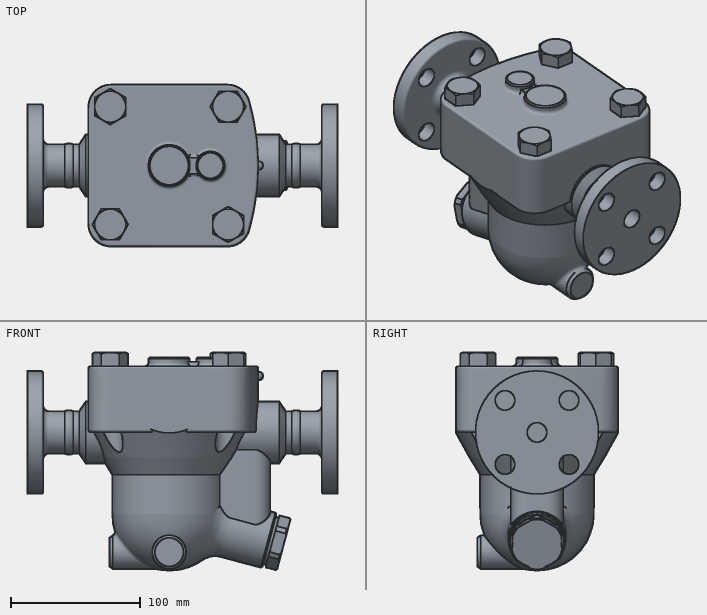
import cadquery as cq
import math


INLET_X = -109.2
OUTLET_X = 129.8
FLANGE_RADIUS = 95.0 / 2
FLANGE_THICKNESS = 12.2
FLANGE_EDGE_ROUND = 2.0
FLANGE_HOLE_DIA = 15.0
FLANGE_BOLT_CIRCLE_DIA = 69.8
FLANGE_HOLE_COUNT = 4
PIPE_RADIUS = 33.0 / 2
PIPE_ROOT_FILLET = 4.0
WELD_START = 28.7
WELD_WIDTH = 6.5
WELD_HEIGHT = 0.7
SOCKET_RADIUS = 48.0 / 2
SOCKET_TAPER_START = 40.0
SOCKET_TAPER_LENGTH = 5.0
BORE_DIA = 15.0
BORE_DEPTH = SOCKET_TAPER_START

BLOCK_HALF_WIDTH = 62.5
BLOCK_LEFT_X = -62.4
BLOCK_RIGHT_X = 68.5
BLOCK_CORNER_X = 57.5
BLOCK_CORNER_RADIUS = 17.7
BLOCK_TOP_Z = 51.1
BLOCK_TOP_ROUND = 2.0
BLOCK_BOTTOM_ROUND = 2.5

BOLT_OFFSET = 45.5
BOLT_ACROSS_FLATS = 24.0
BOLT_HEAD_HEIGHT = 10.5
BOLT_CHAMFER_ANGLE = 30
BOLT_RELIEF_RADIUS = 9.8

BOSS_HEIGHT = 6.7
BOSS_CHAMFER = 1.2
LARGE_BOSS_RADIUS = 32.0 / 2
SMALL_BOSS_RADIUS = 22.0 / 2
SMALL_BOSS_X = 31.8
BRIDGE_WIDTH = 12.5
BRIDGE_HEIGHT = 3.3
BOSS_ROOT_FILLET = 2.9

PIN_RADIUS = 3.3
PIN_Z = 43.5
PIN_TIP_X = 72.5

CHAMBER_RADIUS = 44.0
NECK_BOTTOM_Z = -32.5
NECK_BREAK_Z = -19.4
NECK_BREAK_RADIUS = 52.0
NECK_SLOPE = 0.55
DOME_Z = -62.5

DRAIN_RADIUS = 26.0 / 2
DRAIN_FACE_RADIUS = 22.0 / 2
DRAIN_CHAMFER_LENGTH = 2.6
DRAIN_REACH = 46.1
DRAIN_Z = -92.3
DRAIN_ROOT_FILLET = 2.9

RIB_HALF_WIDTH = 20.0
RIB_END_X = 78.0
RIB_CORNER_RADIUS = 12.5

PLUG_TILT = 15
PLUG_BOSS_RADIUS = 44.0 / 2
PLUG_ROOT_FILLET = 17.5
PLUG_BOSS_LENGTH = 80.0
PLUG_BOSS_CHAMFER = 1.2
PLUG_NECK_RADIUS = 38.0 / 2
PLUG_HEX_START = 82.5
PLUG_HEX_END = 91.5
PLUG_ACROSS_FLATS = 38.0
PLUG_CORNER_RADIUS = 41.5 / 2
PLUG_EDGE_CHAMFER = 1.0


def hexagon(plane, across_flats, height, turn=0):
    """Hexagonal prism with two corners on the local X axis when turn is 0."""
    corner_dia = across_flats / math.cos(math.radians(30))
    return plane.transformed(rotate=(0, 0, turn)).polygon(6, corner_dia).extrude(height)


def pipe_end(face_x, inward):
    """Flange, pipe, weld bead and socket, from the flange face to the block centre."""

    def at(distance, radius):
        return (face_x + inward * distance, radius)

    flange_side = FLANGE_RADIUS - FLANGE_EDGE_ROUND
    edge_start = FLANGE_THICKNESS - FLANGE_EDGE_ROUND
    diagonal = math.sqrt(0.5)
    edge_mid = at(edge_start + FLANGE_EDGE_ROUND * diagonal, flange_side + FLANGE_EDGE_ROUND * diagonal)
    root_mid = at(
        FLANGE_THICKNESS + PIPE_ROOT_FILLET * (1 - diagonal),
        PIPE_RADIUS + PIPE_ROOT_FILLET * (1 - diagonal),
    )
    weld_mid = at(WELD_START + WELD_WIDTH / 2, PIPE_RADIUS + WELD_HEIGHT)
    return (
        cq.Workplane("XY")
        .moveTo(*at(0, 0))
        .lineTo(*at(0, FLANGE_RADIUS))
        .lineTo(*at(edge_start, FLANGE_RADIUS))
        .threePointArc(edge_mid, at(FLANGE_THICKNESS, flange_side))
        .lineTo(*at(FLANGE_THICKNESS, PIPE_RADIUS + PIPE_ROOT_FILLET))
        .threePointArc(root_mid, at(FLANGE_THICKNESS + PIPE_ROOT_FILLET, PIPE_RADIUS))
        .lineTo(*at(WELD_START, PIPE_RADIUS))
        .threePointArc(weld_mid, at(WELD_START + WELD_WIDTH, PIPE_RADIUS))
        .lineTo(*at(SOCKET_TAPER_START, PIPE_RADIUS))
        .lineTo(*at(SOCKET_TAPER_START + SOCKET_TAPER_LENGTH, SOCKET_RADIUS))
        .lineTo(0, SOCKET_RADIUS)
        .lineTo(0, 0)
        .close()
        .revolve(360, (0, 0, 0), (1, 0, 0))
    )


def flange_holes(face_x, inward):
    """Bolt holes through one flange and the blind bore along its pipe."""
    face = cq.Workplane("YZ", origin=(face_x, 0, 0))
    holes = (
        face.polarArray(FLANGE_BOLT_CIRCLE_DIA / 2, 45, 360, FLANGE_HOLE_COUNT)
        .circle(FLANGE_HOLE_DIA / 2)
        .extrude(inward * FLANGE_THICKNESS)
    )
    return holes.union(face.circle(BORE_DIA / 2).extrude(inward * BORE_DEPTH))


def block_footprint(bottom_z, top_z):
    """Rounded block outline with a bowed outlet side, extruded between two levels."""
    return (
        cq.Workplane("XY", origin=(0, 0, bottom_z))
        .moveTo(BLOCK_LEFT_X, -BLOCK_HALF_WIDTH)
        .lineTo(BLOCK_CORNER_X, -BLOCK_HALF_WIDTH)
        .threePointArc((BLOCK_RIGHT_X, 0), (BLOCK_CORNER_X, BLOCK_HALF_WIDTH))
        .lineTo(BLOCK_LEFT_X, BLOCK_HALF_WIDTH)
        .close()
        .extrude(top_z - bottom_z)
        .edges("|Z")
        .fillet(BLOCK_CORNER_RADIUS)
    )


def cover_block():
    block = block_footprint(0, BLOCK_TOP_Z).faces(">Z").edges().fillet(BLOCK_TOP_ROUND)
    return block.faces("<Z").edges().fillet(BLOCK_BOTTOM_ROUND)


def add_cover_bosses(block):
    """Two round bosses joined by a low bridge, filleted onto the cover."""
    top = cq.Workplane("XY", origin=(0, 0, BLOCK_TOP_Z))
    large = top.circle(LARGE_BOSS_RADIUS).extrude(BOSS_HEIGHT).faces(">Z").chamfer(BOSS_CHAMFER)
    small = (
        top.center(SMALL_BOSS_X, 0)
        .circle(SMALL_BOSS_RADIUS)
        .extrude(BOSS_HEIGHT)
        .faces(">Z")
        .chamfer(BOSS_CHAMFER)
    )
    bridge = top.center(SMALL_BOSS_X / 2, 0).rect(SMALL_BOSS_X, BRIDGE_WIDTH).extrude(BRIDGE_HEIGHT)
    root = cq.selectors.BoxSelector(
        (-BLOCK_HALF_WIDTH / 2, -BLOCK_HALF_WIDTH / 2, BLOCK_TOP_Z - BOSS_CHAMFER),
        (BLOCK_HALF_WIDTH * 0.8, BLOCK_HALF_WIDTH / 2, BLOCK_TOP_Z + BOSS_CHAMFER),
    )
    return block.union(large).union(small).union(bridge).edges(root).fillet(BOSS_ROOT_FILLET)


def cover_bolt(x, y, turn):
    """Hexagon bolt head with its top corners turned to a cone."""
    seat = cq.Workplane("XY", origin=(x, y, BLOCK_TOP_Z))
    head = hexagon(seat, BOLT_ACROSS_FLATS, BOLT_HEAD_HEIGHT, turn)
    top_radius = BOLT_ACROSS_FLATS / 2
    slope = math.tan(math.radians(BOLT_CHAMFER_ANGLE))
    cone = (
        cq.Workplane("XZ")
        .lineTo(top_radius + BOLT_HEAD_HEIGHT / slope, 0)
        .lineTo(top_radius, BOLT_HEAD_HEIGHT)
        .lineTo(0, BOLT_HEAD_HEIGHT)
        .close()
        .revolve()
        .translate((x, y, BLOCK_TOP_Z))
    )
    return head.intersect(cone)


def cover_pin():
    tip_centre = (PIN_TIP_X - PIN_RADIUS, 0, PIN_Z)
    shank = cq.Workplane("YZ", origin=tip_centre).circle(PIN_RADIUS).extrude(-2 * PIN_RADIUS)
    return shank.union(cq.Workplane("XY", origin=tip_centre).sphere(PIN_RADIUS))


def neck():
    """Two stacked cones under the block, kept inside the block outline and relieved below the bolts."""
    top_z = BLOCK_BOTTOM_ROUND
    top_radius = NECK_BREAK_RADIUS + NECK_SLOPE * (top_z - NECK_BREAK_Z)
    cone = (
        cq.Workplane("XZ")
        .moveTo(0, NECK_BOTTOM_Z)
        .lineTo(CHAMBER_RADIUS, NECK_BOTTOM_Z)
        .lineTo(NECK_BREAK_RADIUS, NECK_BREAK_Z)
        .lineTo(top_radius, top_z)
        .lineTo(0, top_z)
        .close()
        .revolve()
    )
    reliefs = (
        cq.Workplane("XY", origin=(0, 0, NECK_BOTTOM_Z))
        .rect(2 * BOLT_OFFSET, 2 * BOLT_OFFSET, forConstruction=True)
        .vertices()
        .circle(BOLT_RELIEF_RADIUS)
        .extrude(-NECK_BOTTOM_Z)
    )
    return cone.intersect(block_footprint(NECK_BOTTOM_Z, top_z)).cut(reliefs)


def drain_stub(turn):
    """Chamfered horizontal stub, pointing to -Y before it is turned about Z."""
    body_length = DRAIN_REACH - DRAIN_CHAMFER_LENGTH
    stub = (
        cq.Workplane("YX")
        .lineTo(0, DRAIN_RADIUS)
        .lineTo(-body_length, DRAIN_RADIUS)
        .lineTo(-DRAIN_REACH, DRAIN_FACE_RADIUS)
        .lineTo(-DRAIN_REACH, 0)
        .close()
        .revolve(360, (0, 0, 0), (1, 0, 0))
    )
    return stub.translate((0, 0, DRAIN_Z)).rotate((0, 0, 0), (0, 0, 1), turn)


def chamber():
    """Cylinder closed by a hemispherical dome, with a filleted drain stub to -X and a plain one to -Y."""
    shell = (
        cq.Workplane("XY", origin=(0, 0, NECK_BOTTOM_Z))
        .circle(CHAMBER_RADIUS)
        .extrude(DOME_Z - NECK_BOTTOM_Z)
        .union(cq.Workplane("XY", origin=(0, 0, DOME_Z)).sphere(CHAMBER_RADIUS))
    )
    shell = shell.union(drain_stub(-90)).edges("%BSPLINE").fillet(DRAIN_ROOT_FILLET)
    return shell.union(drain_stub(0))


def plug_boss():
    """Round boss blended into the dome, with the neck and hexagon of its plug."""
    fillet_height = PLUG_BOSS_RADIUS + PLUG_ROOT_FILLET
    fillet_end = math.sqrt((CHAMBER_RADIUS + PLUG_ROOT_FILLET) ** 2 - fillet_height**2)
    dome_share = CHAMBER_RADIUS / (CHAMBER_RADIUS + PLUG_ROOT_FILLET)
    fillet_start = (fillet_end * dome_share, fillet_height * dome_share)
    half_turn = math.atan2(fillet_end, fillet_height) / 2
    fillet_mid = (
        fillet_end - PLUG_ROOT_FILLET * math.sin(half_turn),
        fillet_height - PLUG_ROOT_FILLET * math.cos(half_turn),
    )
    boss = (
        cq.Workplane("XZ")
        .lineTo(*fillet_start)
        .threePointArc(fillet_mid, (fillet_end, PLUG_BOSS_RADIUS))
        .lineTo(PLUG_BOSS_LENGTH - PLUG_BOSS_CHAMFER, PLUG_BOSS_RADIUS)
        .lineTo(PLUG_BOSS_LENGTH, PLUG_BOSS_RADIUS - PLUG_BOSS_CHAMFER)
        .lineTo(PLUG_BOSS_LENGTH, PLUG_NECK_RADIUS)
        .lineTo(PLUG_HEX_START, PLUG_NECK_RADIUS)
        .lineTo(PLUG_HEX_START, 0)
        .close()
        .revolve(360, (0, 0, 0), (1, 0, 0))
    )
    hex_face = cq.Workplane("YZ", origin=(PLUG_HEX_START, 0, 0))
    hex_length = PLUG_HEX_END - PLUG_HEX_START
    turned_blank = hex_face.circle(PLUG_CORNER_RADIUS).extrude(hex_length)
    turned_blank = turned_blank.faces(">X").chamfer(PLUG_EDGE_CHAMFER)
    head = hexagon(hex_face, PLUG_ACROSS_FLATS, hex_length, 90).intersect(turned_blank)
    return boss.union(head).rotate((0, 0, 0), (0, 1, 0), PLUG_TILT).translate((0, 0, DOME_Z))


def outlet_rib():
    """Upright rib from the pipe axis down to the axis of the plug boss."""
    end_z = DOME_Z - RIB_END_X * math.tan(math.radians(PLUG_TILT))
    return (
        cq.Workplane("XZ")
        .polyline([(0, 0), (RIB_END_X, 0), (RIB_END_X, end_z), (0, DOME_Z)])
        .close()
        .extrude(RIB_HALF_WIDTH, both=True)
        .edges("|Z and >X")
        .fillet(RIB_CORNER_RADIUS)
    )


result = add_cover_bosses(cover_block()).union(cover_pin())
result = result.union(neck()).union(chamber()).union(outlet_rib()).union(plug_boss())

for x_side in (-1, 1):
    for y_side in (-1, 1):
        bolt_turn = 0 if x_side == y_side else 30
        result = result.union(cover_bolt(x_side * BOLT_OFFSET, y_side * BOLT_OFFSET, bolt_turn))

pipe_ends = ((INLET_X, 1), (OUTLET_X, -1))
for end_x, direction in pipe_ends:
    result = result.union(pipe_end(end_x, direction))
for end_x, direction in pipe_ends:
    result = result.cut(flange_holes(end_x, direction))